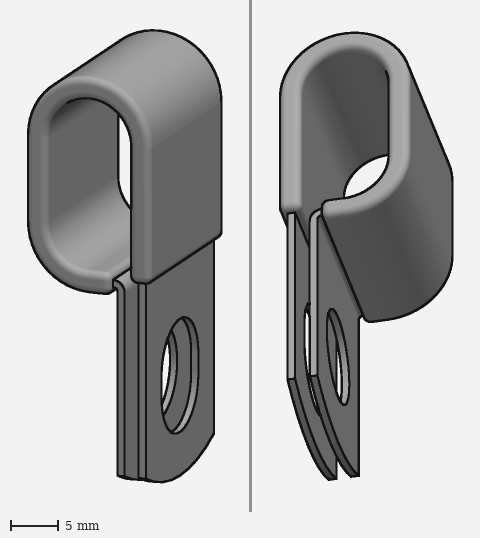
import cadquery as cq
import math

total_height = 46.0
cushion_length = 20.65
loop_width = 14.3
loop_radius = loop_width / 2

strip_thickness = 0.85
wall = 2.45
cushion_cover = (wall - strip_thickness) / 2
edge_round = cushion_cover
side_straight = 9.55
arm_straight = 2.6

strip_width = cushion_length - 2 * cushion_cover
bend_inner_radius = 0.5
tip_sagitta = 2.15
hole_diameter = 10.3
hole_drop = 34.95
slot_straight = 2.2

upper_center_z = -loop_radius
lower_center_z = upper_center_z - side_straight
arm_middle_z = lower_center_z - loop_radius + wall / 2
leg_end_z = arm_middle_z + strip_thickness / 2
strip_radius = loop_radius - wall / 2
bend_radius = bend_inner_radius + strip_thickness / 2
bent_tab_x = arm_straight + bend_radius
tab_split_x = (bent_tab_x + strip_radius) / 2


def make_band(thickness, length, leg_bottom_z):
    """Looped band from the straight leg round to the end of the lower arm."""
    outer = strip_radius + thickness / 2
    inner = strip_radius - thickness / 2
    outer_diagonal = outer * math.sqrt(0.5)
    inner_diagonal = inner * math.sqrt(0.5)
    return (
        cq.Workplane("XZ")
        .moveTo(outer, leg_bottom_z)
        .lineTo(outer, upper_center_z)
        .threePointArc((0, upper_center_z + outer), (-outer, upper_center_z))
        .lineTo(-outer, lower_center_z)
        .threePointArc((-outer_diagonal, lower_center_z - outer_diagonal), (0, lower_center_z - outer))
        .lineTo(arm_straight, lower_center_z - outer)
        .lineTo(arm_straight, lower_center_z - inner)
        .lineTo(0, lower_center_z - inner)
        .threePointArc((-inner_diagonal, lower_center_z - inner_diagonal), (-inner, lower_center_z))
        .lineTo(-inner, upper_center_z)
        .threePointArc((0, upper_center_z + inner), (inner, upper_center_z))
        .lineTo(inner, leg_bottom_z)
        .close()
        .extrude(length / 2, both=True)
    )


def make_cushion():
    """Cushion with its rims and both of its ends rounded."""
    band = make_band(wall, cushion_length, leg_end_z)
    leg_end = band.faces(cq.NearestToPointSelector((strip_radius, 0, leg_end_z)))
    arm_end = band.faces(cq.NearestToPointSelector((arm_straight, 0, arm_middle_z)))
    rims = band.faces("<Y or >Y")
    return rims.add(leg_end).add(arm_end).edges().fillet(edge_round)


def make_strip():
    """Metal strip with its straight tab and the tab bent down from the arm."""
    band = make_band(strip_thickness, strip_width, -total_height)
    outer_radius = bend_inner_radius + strip_thickness
    bend_z = arm_middle_z - bend_radius
    quarter = (
        cq.Workplane("XZ", origin=(arm_straight, 0, bend_z))
        .circle(outer_radius).circle(bend_inner_radius)
        .extrude(strip_width / 2, both=True)
        .intersect(
            cq.Workplane().box(outer_radius, strip_width, outer_radius, centered=(False, True, False))
            .translate((arm_straight, 0, bend_z))
        )
    )
    bent_tab = cq.Workplane().box(
        strip_thickness, strip_width, total_height + bend_z, centered=(True, True, False)
    ).translate((bent_tab_x, 0, -total_height))
    return band.union(quarter).union(bent_tab)


def tip_envelope():
    """Side silhouette whose lower end is the shallow arc of the tab tips."""
    half_width = cushion_length / 2
    strip_half = strip_width / 2
    corner_z = tip_sagitta - total_height
    return (
        cq.Workplane("YZ")
        .moveTo(-half_width, 0).lineTo(-half_width, corner_z).lineTo(-strip_half, corner_z)
        .threePointArc((0, -total_height), (strip_half, corner_z))
        .lineTo(half_width, corner_z).lineTo(half_width, 0).close()
        .extrude(loop_radius, both=True)
    )


def make_holes():
    """Round hole in the bent tab and an upright slot in the straight tab."""
    round_hole = (
        cq.Workplane("YZ").center(0, -hole_drop).circle(hole_diameter / 2).extrude(tab_split_x)
    )
    slot = (
        cq.Workplane("YZ", origin=(tab_split_x, 0, 0)).center(0, -hole_drop)
        .slot2D(hole_diameter + slot_straight, hole_diameter, 90).extrude(loop_radius)
    )
    return round_hole.union(slot)


result = make_strip().intersect(tip_envelope()).union(make_cushion()).cut(make_holes())